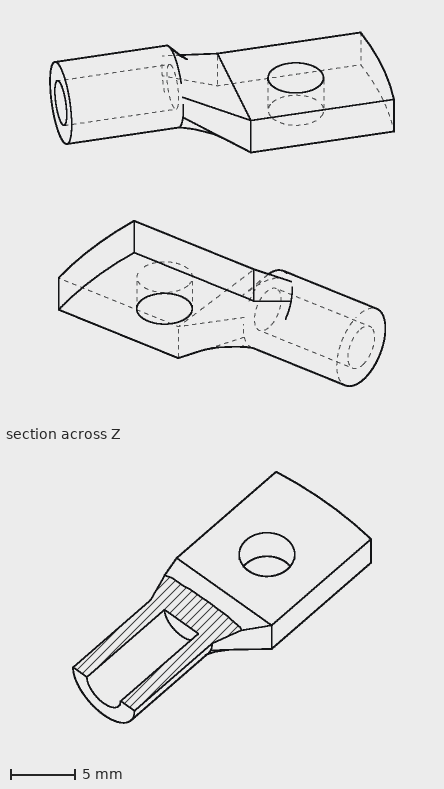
import cadquery as cq
import math

length = 25.95
width = 10.0
height = 7.1

barrel_diameter = 6.5
barrel_length = 9.03
bore_diameter = 3.53
bore_depth = barrel_length
barrel_axis_z = height - barrel_diameter / 2

neck_top_dips = [0, 0.65, 0.85, 0.47, 0]

tongue_thickness = 2.98
tongue_start = 14.01
end_sagitta = 0.36
stud_hole_diameter = 4.33
stud_hole_y = 19.0


def make_barrel_cylinder(diameter, depth):
    """Cylinder on the barrel axis, running inward from the open end."""
    open_end = cq.Plane((0, 0, barrel_axis_z), (1, 0, 0), (0, 1, 0))
    return cq.Workplane(open_end).circle(diameter / 2).extrude(depth)


def make_neck_wire(fraction, top_dip):
    """Outline of the neck at a fraction of the way from the tongue to the barrel."""
    corner_angle = math.atan2(tongue_thickness, width)
    y = tongue_start + fraction * (barrel_length - tongue_start)

    def blend(angle, flat_x, flat_z):
        """Point between a place on the tongue outline and one on the barrel circle."""
        round_x = barrel_diameter / 2 * math.cos(angle)
        round_z = barrel_axis_z + barrel_diameter / 2 * math.sin(angle)
        return cq.Vector(
            flat_x + fraction * (round_x - flat_x),
            y,
            flat_z + fraction * (round_z - flat_z),
        )

    corners = [
        blend(corner_angle, width / 2, tongue_thickness),
        blend(math.pi - corner_angle, -width / 2, tongue_thickness),
        blend(math.pi + corner_angle, -width / 2, 0),
        blend(-corner_angle, width / 2, 0),
    ]
    middles = [
        blend(math.pi / 2, 0, tongue_thickness) - cq.Vector(0, 0, top_dip),
        blend(math.pi, -width / 2, tongue_thickness / 2),
        blend(-math.pi / 2, 0, 0),
        blend(0, width / 2, tongue_thickness / 2),
    ]
    edges = []
    for i, middle in enumerate(middles):
        start = corners[i]
        end = corners[(i + 1) % len(corners)]
        if fraction == 0:
            edges.append(cq.Edge.makeLine(start, end))
        else:
            edges.append(cq.Edge.makeThreePointArc(start, middle, end))
    return cq.Wire.assembleEdges(edges)


def make_neck():
    """Blend from the rectangular tongue to the round barrel, dished along the top."""
    last = len(neck_top_dips) - 1
    wires = [make_neck_wire(i / last, dip) for i, dip in enumerate(neck_top_dips)]
    return cq.Workplane(obj=cq.Solid.makeLoft(wires))


def make_tongue():
    """Flat tongue with a shallow arc at its free end."""
    corner_y = length - end_sagitta
    return (
        cq.Workplane("XY")
        .moveTo(-width / 2, tongue_start)
        .lineTo(width / 2, tongue_start)
        .lineTo(width / 2, corner_y)
        .threePointArc((0, length), (-width / 2, corner_y))
        .close()
        .extrude(tongue_thickness)
    )


def make_stud_hole():
    """Cutter for the hole through the tongue."""
    return (
        cq.Workplane("XY")
        .center(0, stud_hole_y)
        .circle(stud_hole_diameter / 2)
        .extrude(tongue_thickness)
    )


result = (
    make_barrel_cylinder(barrel_diameter, barrel_length)
    .union(make_neck())
    .union(make_tongue())
    .cut(make_barrel_cylinder(bore_diameter, bore_depth))
    .cut(make_stud_hole())
)